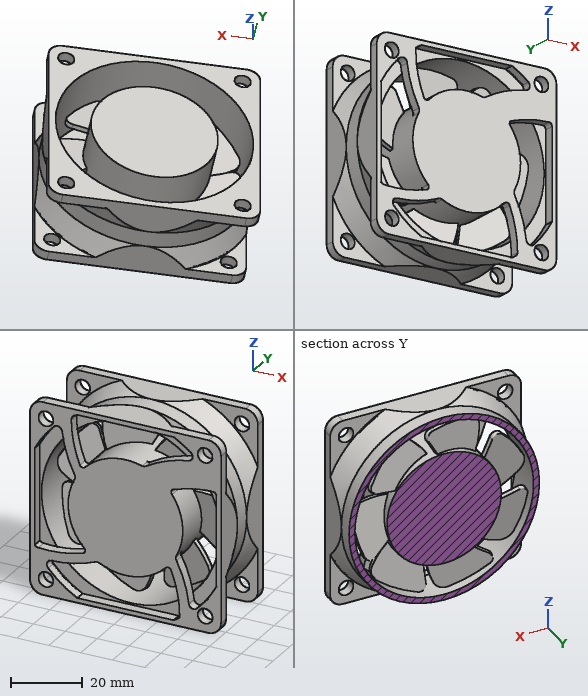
import cadquery as cq
import math

side = 60.0
depth = 25.5
corner_radius = 4.0
flange_thickness = 3.2
mount_pitch = 50.0
mount_hole_diameter = 4.6

band_radius = side / 2
band_width = 5.6
flare_radius = 32.6
bore_radius = 28.0

hub_radius = 18.0
rim_width = 1.5
window_outer_radius = 32.25
window_wide_fillet = 1.5
window_narrow_fillet = 1.0
match_tolerance = 1e-4
spoke_arc_radius = 36.4

upper_left_outer = (16.25, 26.6)
upper_left_inner = (19.4, 26.8)
lower_left_upper = (-24.05, 20.65)
lower_left_lower = (-23.3, 17.7)
upper_right_upper = (25.1, -13.8)
upper_right_lower = (27.4, -22.1)

blade_count = 7
blade_tilt = 10.0
blade_thickness = 1.5
blade_mid_depth = depth / 2
blade_lead_fillet = 4.0
blade_trail_fillet = 2.0


def disc(radius, thickness, centre=(0, 0)):
    """Disc facing -Y at (x, z) whose front face lies at y = 0."""
    return cq.Workplane("XZ").center(*centre).circle(radius).extrude(-thickness)


def turned_half(point):
    """Point opposite to the given one across the axis."""
    return (-point[0], -point[1])


def make_housing():
    """Square block trimmed to two flanges joined by a flared barrel, with a bore."""
    beyond_corners = side
    band_start = (depth - band_width) / 2
    band_end = depth - band_start
    back_flange = depth - flange_thickness
    envelope = (
        cq.Workplane("XY")
        .polyline([
            (0, 0),
            (beyond_corners, 0),
            (beyond_corners, flange_thickness),
            (flare_radius, flange_thickness),
            (band_radius, band_start),
            (band_radius, band_end),
            (flare_radius, back_flange),
            (beyond_corners, back_flange),
            (beyond_corners, depth),
            (0, depth),
        ])
        .close()
        .revolve(360, (0, 0, 0), (0, 1, 0))
    )
    block = cq.Workplane("XZ").rect(side, side).extrude(-depth).edges("|Y").fillet(corner_radius)
    housing = block.intersect(envelope)
    bore = disc(bore_radius, depth - flange_thickness).translate((0, flange_thickness, 0))
    holes = (
        cq.Workplane("XZ")
        .rect(mount_pitch, mount_pitch, forConstruction=True)
        .vertices()
        .circle(mount_hole_diameter / 2)
        .extrude(-depth)
    )
    return housing.cut(bore).cut(holes)


def make_window(inside_centre, outside_centre):
    """Window that lies inside one spoke edge arc and outside the next one."""
    opening = side - 2 * rim_width
    rim = cq.Workplane("XZ").rect(opening, opening).extrude(-flange_thickness)
    window = (
        disc(window_outer_radius, flange_thickness)
        .intersect(disc(spoke_arc_radius, flange_thickness, inside_centre))
        .cut(disc(spoke_arc_radius, flange_thickness, outside_centre))
        .cut(disc(hub_radius, flange_thickness))
    )

    def rim_reach(point):
        """Distance from the axis to the point, measured square to the nearest rim side."""
        return max(abs(point.x), abs(point.z))

    def is_narrow(edge):
        """True where the arc the window lies inside meets the hub or the straight rim."""
        middle = edge.Center()
        on_hub = math.isclose(math.hypot(middle.x, middle.z), hub_radius, rel_tol=match_tolerance)
        on_rim = math.isclose(rim_reach(middle), opening / 2, rel_tol=match_tolerance)
        arc_distance = math.dist((middle.x, middle.z), inside_centre)
        on_arc = math.isclose(arc_distance, spoke_arc_radius, rel_tol=match_tolerance)
        return on_arc and (on_hub or on_rim)

    def is_wide(edge):
        """True for the remaining corners that the straight rim does not cut away."""
        return rim_reach(edge.Center()) < opening / 2 and not is_narrow(edge)

    wide_corners = [edge for edge in window.edges("|Y").vals() if is_wide(edge)]
    window = window.newObject(wide_corners).fillet(window_wide_fillet).intersect(rim)
    narrow_corners = [edge for edge in window.edges("|Y").vals() if is_narrow(edge)]
    return window.newObject(narrow_corners).fillet(window_narrow_fillet)


def make_blade():
    """Top blade: a flat tilted plate whose leading edge, on the -X side, is nearest the front."""
    tilt = math.radians(blade_tilt)
    plane = cq.Plane(
        origin=(0, blade_mid_depth, 0),
        xDir=(math.cos(tilt), math.sin(tilt), 0),
        normal=(math.sin(tilt), -math.cos(tilt), 0),
    )

    def on_plane(x, z):
        """Plane coordinates of the plate point seen at (x, z) along the air axis."""
        return (x / math.cos(tilt), z)

    lead_root = on_plane(-9.6, 10.5)
    lead_middle = on_plane(-12.2, 18.2)
    lead_tip = on_plane(-12.3, 25.3)
    tip_middle = on_plane(-3.8, 26.7)
    trail_tip = on_plane(6.5, 25.6)
    trail_middle = on_plane(3.6, 20.9)
    trail_root = on_plane(-0.9, 12.5)
    plate = (
        cq.Workplane(plane)
        .moveTo(*lead_root)
        .threePointArc(lead_middle, lead_tip)
        .threePointArc(tip_middle, trail_tip)
        .threePointArc(trail_middle, trail_root)
        .close()
        .extrude(blade_thickness / 2, both=True)
    )
    across_plate = cq.selectors.ParallelDirSelector(plane.zDir)
    plate = plate.edges(across_plate).edges(">X").fillet(blade_trail_fillet)
    return plate.edges(across_plate).edges("<X").fillet(blade_lead_fillet)


housing = make_housing()
windows = [
    (upper_left_inner, upper_right_upper),
    (lower_left_upper, upper_left_outer),
    (turned_half(upper_left_inner), lower_left_lower),
    (upper_right_lower, turned_half(upper_left_outer)),
]
for inside_centre, outside_centre in windows:
    housing = housing.cut(make_window(inside_centre, outside_centre))

result = housing.union(disc(hub_radius, depth))
blade = make_blade()
for index in range(blade_count):
    result = result.union(blade.rotate((0, 0, 0), (0, 1, 0), index * 360 / blade_count))